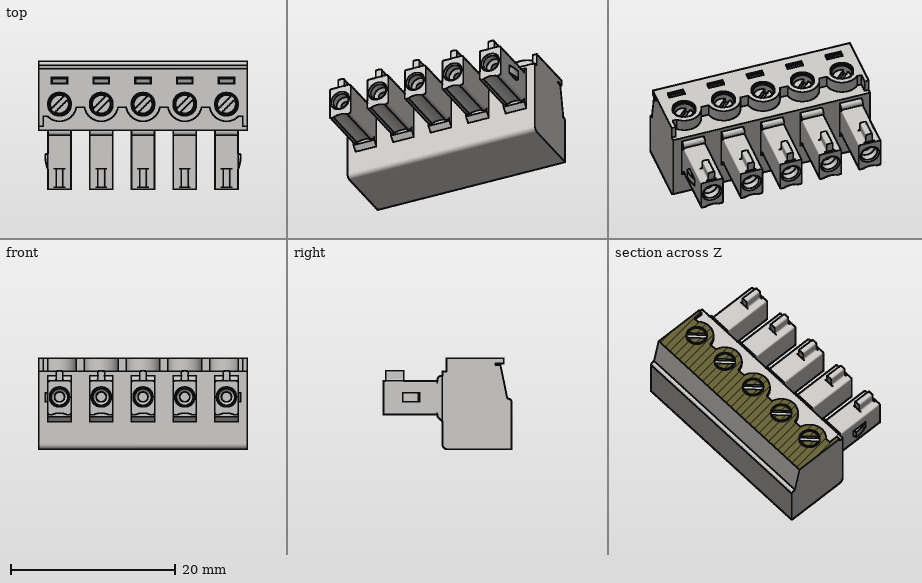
import cadquery as cq


length = 25.4
pole_count = 5
pitch = length / pole_count
pole_positions = [(i - (pole_count - 1) / 2) * pitch for i in range(pole_count)]

height = 11.1
depth = 8.43
ledge_height = 9.5
top_front = 0.5
lip_rear = 7.5
lip_bottom = 10.45
groove_bottom = 10.25
groove_end = 6.5
slope_top_y = 7.09
slope_bottom_y = 7.92
slope_bottom_z = 6.2
shoulder_mid_y = 8.25
shoulder_mid_z = 6.1
shoulder_end_z = 5.85
front_bottom_radius = 0.64

boss_radius = 2.08
boss_y = 3.2
web_front = 2.82
end_wall_front = 1.7
end_wall_thickness = 0.53

well_radius = 1.42
well_rim_depth = 0.25
well_bore_radius = 1.25
well_bore_depth = 0.35
screw_radius = 1.12
screw_depth = 0.95
screw_slot_width = 0.6
screw_slot_depth = 0.69
screw_slot_angle = 45

pocket_width = 1.98
pocket_front = 5.7
pocket_rear = 6.45
pocket_rim_depth = 0.18
pocket_side_step = 0.1
pocket_rear_step = 0.18
pocket_front_step = 0.08
pocket_rear_depth = 0.28
pocket_front_depth = 0.5

plug_width = 2.82
plug_bottom = 4.22
plug_top = 8.33
plug_length = 7.16
plug_edge_radius = 0.2
plug_groove_half_width = 0.91
plug_groove_rise = 0.2

collar_length = 0.6
collar_top = 8.95
collar_bottom = 4.0
collar_radius = 0.45

socket_z = 6.38
socket_radius = 1.22
socket_rim_radius = 1.02
socket_rim_depth = 0.18
socket_bore_depth = 1.07
socket_throat_radius = 0.6
socket_throat_depth = 1.5
socket_depth = 3.05

key_width = 0.81
key_foot_radius = 0.23
key_top = 9.58
key_rear = -4.67
key_length = 2.24
key_radius = 0.23

latch_bottom = 5.82
latch_top = 6.88
latch_reach = 0.35
latch_rear = -2.77
latch_lead = 0.18
latch_front = -4.8


def make_housing():
    """Long body: side profile extruded along X, with the front bottom edge rounded."""
    upper_outline = [
        (slope_bottom_y, slope_bottom_z),
        (slope_top_y, groove_bottom),
        (groove_end, groove_bottom),
        (groove_end, lip_bottom),
        (lip_rear, lip_bottom),
        (lip_rear, height),
        (top_front, height),
        (top_front, ledge_height),
        (0, ledge_height),
    ]
    body = (
        cq.Workplane("YZ", origin=(-length / 2, 0, 0))
        .lineTo(depth, 0)
        .lineTo(depth, shoulder_end_z)
        .threePointArc((shoulder_mid_y, shoulder_mid_z), upper_outline[0])
        .polyline(upper_outline, includeCurrent=False)
        .close()
        .extrude(length)
    )
    return body.edges(cq.selectors.NearestToPointSelector((0, 0, 0))).fillet(front_bottom_radius)


def box_between(x_range, y_range, z_range):
    """Axis-aligned box given its limits along each axis."""
    sizes = [high - low for low, high in (x_range, y_range, z_range)]
    corner = (x_range[0], y_range[0], z_range[0])
    return cq.Workplane("XY").box(*sizes, centered=False).translate(corner)


def make_scallop_cut():
    """Space above the ledge, in front of the round screw bosses and the webs between them."""
    inner_end = length / 2 - end_wall_thickness
    last_pole = pole_positions[-1]
    z_range = (ledge_height, height)
    cut = box_between((-inner_end, inner_end), (0, end_wall_front), z_range)
    cut = cut.union(box_between((-last_pole, last_pole), (0, web_front), z_range))
    bosses = (
        cq.Workplane("XY", origin=(0, boss_y, ledge_height))
        .pushPoints([(x, 0) for x in pole_positions])
        .circle(boss_radius)
        .extrude(height - ledge_height)
    )
    return cut.cut(bosses)


def make_well(x):
    """Screw well with a coned rim, leaving a slotted screw head standing inside the bore."""
    slot_floor = height - screw_depth - screw_slot_depth
    profile = [
        (0, height),
        (well_radius, height),
        (well_radius, height - well_rim_depth),
        (well_bore_radius, height - well_bore_depth),
        (well_bore_radius, slot_floor),
        (0, slot_floor),
    ]
    well = cq.Workplane("XZ").polyline(profile).close().revolve(360, (0, 0), (0, 1))
    head = cq.Workplane("XY", origin=(0, 0, slot_floor)).circle(screw_radius).extrude(screw_slot_depth)
    slot = (
        cq.Workplane("XY", origin=(0, 0, slot_floor))
        .rect(2 * well_radius, screw_slot_width)
        .extrude(screw_slot_depth)
        .rotate((0, 0, 0), (0, 0, 1), screw_slot_angle)
    )
    return well.cut(head.cut(slot)).translate((x, boss_y, 0))


def make_pocket(x):
    """Shallow rectangular pocket with a smaller, deeper well whose floor falls to the front."""
    half_width = pocket_width / 2
    rim_floor = height - pocket_rim_depth
    rim = box_between((x - half_width, x + half_width), (pocket_front, pocket_rear), (rim_floor, height))
    inner_width = pocket_width - 2 * pocket_side_step
    inner_front = pocket_front + pocket_front_step
    inner_rear = pocket_rear - pocket_rear_step
    profile = [
        (inner_front, height),
        (inner_front, height - pocket_front_depth),
        (inner_rear, height - pocket_rear_depth),
        (inner_rear, height),
    ]
    inner = cq.Workplane("YZ", origin=(x - inner_width / 2, 0, 0)).polyline(profile).close()
    return rim.union(inner.extrude(inner_width))


def make_plug(x):
    """Contact plug: grooved bar, collar, coding key and pin socket."""
    half_width = plug_width / 2
    bar = box_between((-half_width, half_width), (-plug_length, 0), (plug_bottom, plug_top))
    bar = bar.edges("|Y").fillet(plug_edge_radius)
    groove = (
        cq.Workplane("XZ")
        .moveTo(-plug_groove_half_width, plug_bottom)
        .threePointArc((0, plug_bottom + plug_groove_rise), (plug_groove_half_width, plug_bottom))
        .close()
        .extrude(plug_length)
    )

    collar_profile = [
        (0, collar_top),
        (-collar_length, collar_top),
        (-collar_length, collar_bottom),
        (0, collar_bottom - collar_length),
    ]
    collar = (
        cq.Workplane("YZ", origin=(-half_width, 0, 0))
        .polyline(collar_profile)
        .close()
        .extrude(plug_width)
    )
    collar_edge = cq.selectors.NearestToPointSelector((0, -collar_length, collar_top))
    collar = collar.edges(collar_edge).fillet(collar_radius)

    plug = bar.cut(groove).union(collar).union(make_key()).cut(make_socket())
    return plug.translate((x, 0, 0))


def make_key():
    """Round-topped rib with a flared foot."""
    half_width = key_width / 2
    stem = box_between((-half_width, half_width), (key_rear - key_length, key_rear), (plug_top, key_top))
    stem = stem.edges("|Y and >Z").fillet(key_radius)
    foot_half_width = half_width + key_foot_radius
    foot = (
        cq.Workplane("XZ", origin=(0, key_rear, 0))
        .moveTo(-foot_half_width, plug_top)
        .lineTo(foot_half_width, plug_top)
        .radiusArc((half_width, plug_top + key_foot_radius), key_foot_radius)
        .lineTo(-half_width, plug_top + key_foot_radius)
        .radiusArc((-foot_half_width, plug_top), key_foot_radius)
        .close()
        .extrude(key_length)
    )
    return stem.union(foot)


def make_socket():
    """Pin hole with a coned rim, a wide mouth and a coned throat, running back from the plug tip."""
    tip = -plug_length
    profile = [
        (0, tip),
        (socket_radius, tip),
        (socket_rim_radius, tip + socket_rim_depth),
        (socket_rim_radius, tip + socket_bore_depth),
        (socket_throat_radius, tip + socket_throat_depth),
        (socket_throat_radius, tip + socket_depth),
        (0, tip + socket_depth),
    ]
    socket = cq.Workplane("XY").polyline(profile).close().revolve(360, (0, 0), (0, 1))
    return socket.translate((0, 0, socket_z))


def make_latch():
    """Snap latch on the +X side of the last plug."""
    side = pole_positions[-1] + plug_width / 2
    crest_y = latch_rear - latch_lead
    bow_length = crest_y - latch_front
    bow_radius = (bow_length**2 + latch_reach**2) / (2 * latch_reach)
    return (
        cq.Workplane("XY", origin=(side, 0, latch_bottom))
        .moveTo(0, latch_rear)
        .lineTo(latch_reach, crest_y)
        .radiusArc((0, latch_front), bow_radius)
        .close()
        .extrude(latch_top - latch_bottom)
    )


result = make_housing().cut(make_scallop_cut())
for pole_x in pole_positions:
    result = result.cut(make_well(pole_x)).cut(make_pocket(pole_x)).union(make_plug(pole_x))
latch = make_latch()
result = result.union(latch).union(latch.mirror("YZ"))